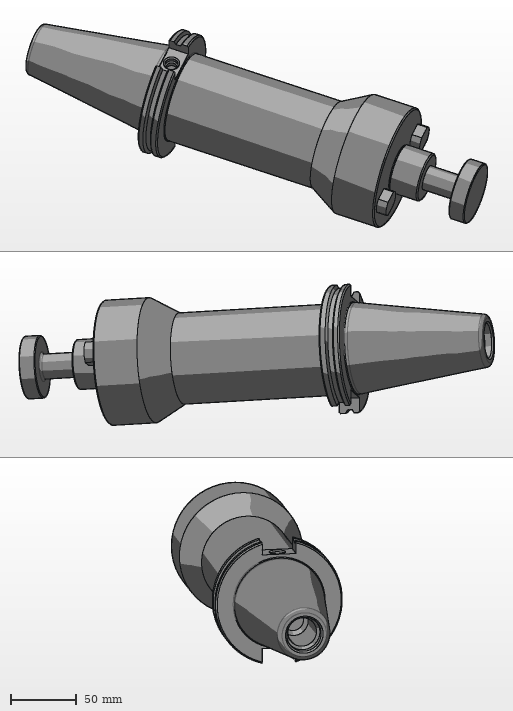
import cadquery as cq
import math


taper_end = 102.0
flange_start = 104.8
flange_width = 16.0
flange_end = flange_start + flange_width
body_end = 240.8
head_start = 263.5
head_end = 298.5
pilot_end = 322.5

nose_radius = 20.0
body_radius = 34.8
flange_radius = 98.0 / 2
head_radius = 95.5 / 2
pilot_radius = 38.0 / 2
relief_radius = 36.5 / 2

nose_rounding = 3.3
flange_chamfer = 1.0
flange_root_fillet = 0.7
head_chamfer = 1.0
pilot_chamfer = 1.0
relief_width = 1.0

groove_center = 112.5
groove_radius = 46.5
groove_floor_width = 3.5
groove_flank_angle = 30.0

keyway_width = 26.0
upper_keyway_height = 37.7
lower_keyway_height = 35.5

index_mouth_radius = 12.5 / 2
index_bore_radius = 10.0 / 2
index_bore_depth = 3.5
index_core_radius = 8.0 / 2
index_core_depth = 8.0
drill_point_angle = 118.0

bore_mouth_radius = 29.0 / 2
bore_pilot_radius = 26.5 / 2
bore_pilot_depth = 6.5
bore_core_radius = 22.0 / 2
bore_core_depth = 43.5
bore_floor_radius = 16.0 / 2

stem_radius = 19.2 / 2
screw_head_radius = 48.0 / 2
screw_head_start = 350.0
screw_head_end = 362.5
screw_head_chamfer = 0.7
screw_root_fillet = 1.8

key_diameter = 19.2
key_width = 16.0
key_height = 8.0
key_offset = 33.5


def revolve_about_x(profile):
    return profile.close().revolve(360, (0, 0, 0), (1, 0, 0))


def make_arbor_blank():
    blank = revolve_about_x(
        cq.Workplane("XY")
        .lineTo(0, nose_radius)
        .lineTo(taper_end, body_radius)
        .lineTo(flange_start - flange_root_fillet, body_radius)
        .radiusArc((flange_start, body_radius + flange_root_fillet), -flange_root_fillet)
        .lineTo(flange_start, flange_radius - flange_chamfer)
        .lineTo(flange_start + flange_chamfer, flange_radius)
        .lineTo(flange_end - flange_chamfer, flange_radius)
        .lineTo(flange_end, flange_radius - flange_chamfer)
        .lineTo(flange_end, body_radius + flange_root_fillet)
        .radiusArc((flange_end + flange_root_fillet, body_radius), -flange_root_fillet)
        .lineTo(body_end, body_radius)
        .lineTo(head_start, head_radius)
        .lineTo(head_end - head_chamfer, head_radius)
        .lineTo(head_end, head_radius - head_chamfer)
        .lineTo(head_end, relief_radius)
        .lineTo(head_end + relief_width, relief_radius)
        .lineTo(head_end + relief_width, pilot_radius)
        .lineTo(pilot_end - pilot_chamfer, pilot_radius)
        .lineTo(pilot_end, pilot_radius - pilot_chamfer)
        .lineTo(pilot_end, 0)
    )
    return blank.faces("<X").edges().fillet(nose_rounding)


def make_flange_groove():
    groove_depth = flange_radius - groove_radius
    floor_half = groove_floor_width / 2
    mouth_half = floor_half + groove_depth * math.tan(math.radians(groove_flank_angle))
    return revolve_about_x(
        cq.Workplane("XY")
        .moveTo(groove_center - floor_half, groove_radius)
        .lineTo(groove_center + floor_half, groove_radius)
        .lineTo(groove_center + mouth_half, flange_radius)
        .lineTo(groove_center - mouth_half, flange_radius)
    )


def make_keyway(floor_height, direction):
    return (
        cq.Workplane("XY")
        .workplane(offset=direction * floor_height)
        .center(flange_start + flange_width / 2, 0)
        .rect(flange_width, keyway_width)
        .extrude(direction * flange_radius)
    )


def make_index_hole():
    mouth_chamfer = index_mouth_radius - index_bore_radius
    step_depth = index_bore_depth + index_bore_radius - index_core_radius
    point_depth = index_core_radius / math.tan(math.radians(drill_point_angle / 2))
    return (
        cq.Workplane("XZ")
        .lineTo(index_mouth_radius, 0)
        .lineTo(index_bore_radius, -mouth_chamfer)
        .lineTo(index_bore_radius, -index_bore_depth)
        .lineTo(index_core_radius, -step_depth)
        .lineTo(index_core_radius, -index_core_depth)
        .lineTo(0, -index_core_depth - point_depth)
        .close()
        .revolve(360, (0, 0, 0), (0, 1, 0))
        .translate((groove_center, 0, upper_keyway_height))
    )


def make_bore():
    mouth_chamfer = bore_mouth_radius - bore_pilot_radius
    step_chamfer = bore_pilot_radius - bore_core_radius
    floor_chamfer = bore_core_radius - bore_floor_radius
    return revolve_about_x(
        cq.Workplane("XY")
        .lineTo(0, bore_mouth_radius)
        .lineTo(mouth_chamfer, bore_pilot_radius)
        .lineTo(bore_pilot_depth, bore_pilot_radius)
        .lineTo(bore_pilot_depth + step_chamfer, bore_core_radius)
        .lineTo(bore_core_depth, bore_core_radius)
        .lineTo(bore_core_depth + floor_chamfer, bore_floor_radius)
        .lineTo(bore_core_depth + floor_chamfer, 0)
    )


def make_screw_hole():
    return (
        cq.Workplane("YZ")
        .workplane(offset=head_end)
        .circle(stem_radius)
        .extrude(pilot_end - head_end)
    )


def make_arbor():
    return (
        make_arbor_blank()
        .cut(make_flange_groove())
        .cut(make_keyway(upper_keyway_height, 1))
        .cut(make_keyway(lower_keyway_height, -1))
        .cut(make_index_hole())
        .cut(make_bore())
        .cut(make_screw_hole())
    )


def make_screw():
    return revolve_about_x(
        cq.Workplane("XY")
        .moveTo(head_end, 0)
        .lineTo(head_end, stem_radius)
        .lineTo(screw_head_start - screw_root_fillet, stem_radius)
        .radiusArc((screw_head_start, stem_radius + screw_root_fillet), -screw_root_fillet)
        .lineTo(screw_head_start, screw_head_radius - screw_head_chamfer)
        .lineTo(screw_head_start + screw_head_chamfer, screw_head_radius)
        .lineTo(screw_head_end - screw_head_chamfer, screw_head_radius)
        .lineTo(screw_head_end, screw_head_radius - screw_head_chamfer)
        .lineTo(screw_head_end, 0)
    )


def make_drive_key(y_position):
    flats = cq.Workplane("YZ").rect(key_diameter, key_width).extrude(key_height)
    return (
        cq.Workplane("YZ")
        .circle(key_diameter / 2)
        .extrude(key_height)
        .intersect(flats)
        .translate((head_end, y_position, 0))
    )


arbor = make_arbor()
screw = make_screw()
drive_keys = [make_drive_key(side * key_offset) for side in (-1, 1)]

result = cq.Compound.makeCompound(
    [arbor.val(), screw.val(), *[key.val() for key in drive_keys]]
)